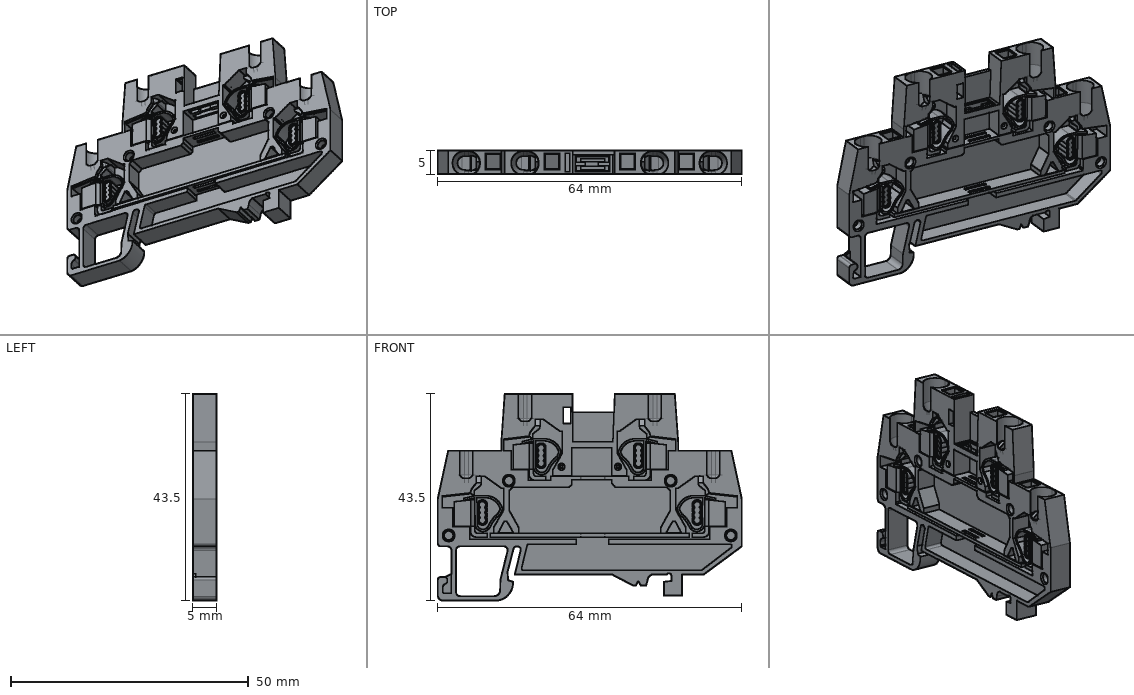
import cadquery as cq
LENGTH = 64.0
THICKNESS = 5.0
HEIGHT = 43.5
POCKET_DEPTH = 4.0
HOOK_WEB = 0.65

RAIL_FACE = 5.45
BODY_BOTTOM = 11.4
LOWER_DECK = 31.55
BAY_TOP = 33.5
SHOULDER = 21.45
BAR_HEIGHT = 0.8
BAR_FRONT = 0.1
ARM_FRONT = 0.8

TERMINAL_STEP_X = -12.35
TERMINAL_STEP_Z = LOWER_DECK - HEIGHT
UPPER_BAR_TOP = 26.1
LOWER_BAR_TOP = UPPER_BAR_TOP + TERMINAL_STEP_Z
UPPER_LEVER_LEFT = 13.95
LOWER_LEVER_LEFT = 13.3

FUNNEL_X = 18.4
FUNNEL_Y = 2.3
FUNNEL_RADIUS = 2.5
FUNNEL_STRAIGHT = 0.8
FUNNEL_DEPTH = 5.1
CONE_DEPTH = 4.0
CONE_TAPER = 15.0

SHAFT_LEFT = 22.6
SHAFT_WIDTH = 2.9
SHAFT_FRONT = 1.1
SHAFT_BACK = 4.15
SHAFT_CHAMFER = 0.2
SHAFT_ROOF = 0.6

SPRING_FRONT = 0.4
SPRING_WALL = 0.45


def prism(points, y_front, y_back):
    """Straight-sided plate with an (X, Z) outline, between two Y planes."""
    plane = cq.Workplane("XZ", origin=(0, y_front, 0))
    return plane.polyline(points).close().extrude(y_front - y_back)


def block(x_left, x_right, y_front, y_back, z_low, z_high):
    size = (x_right - x_left, y_back - y_front, z_high - z_low)
    return cq.Workplane("XY").box(*size, centered=False).translate((x_left, y_front, z_low))


def disc(x, z, radius, y_front, y_back):
    return cq.Workplane("XZ", origin=(x, y_front, z)).circle(radius).extrude(y_front - y_back)


def mirrored(solid):
    """The same solid on the other side of the mid-length plane."""
    return solid.mirror("YZ", (LENGTH / 2, 0, 0))


def body_outline():
    foot = (
        cq.Workplane("XZ")
        .moveTo(0.95, 0)
        .lineTo(12.75, 0)
        .threePointArc((14.7, 1.0), (15.9, 4.0))
        .lineTo(14.85, 4.3)
        .lineTo(14.7, 6.0)
        .lineTo(15.95, 10.75)
    )
    slot_and_rail = (
        foot.threePointArc((16.8, BODY_BOTTOM), (17.5, 10.75))
        .lineTo(16.2, RAIL_FACE)
        .lineTo(36.75, RAIL_FACE)
        .lineTo(41.15, 3.15)
        .lineTo(41.7, 3.15)
        .lineTo(42.2, 4.1)
        .lineTo(42.75, 3.15)
        .lineTo(43.85, 3.15)
        .lineTo(44.15, 4.15)
        .threePointArc((44.4, 4.9), (45.05, RAIL_FACE))
        .lineTo(48.2, RAIL_FACE)
        .threePointArc((48.8, 5.7), (49.15, 5.25))
        .lineTo(49.15, 4.15)
        .lineTo(47.6, 4.0)
        .lineTo(47.6, 1.0)
        .lineTo(51.45, 1.0)
        .lineTo(51.45, RAIL_FACE)
        .lineTo(55.95, RAIL_FACE)
        .lineTo(LENGTH, BODY_BOTTOM)
    )
    towers = (
        slot_and_rail.lineTo(LENGTH, SHOULDER)
        .lineTo(61.8, LOWER_DECK)
        .lineTo(50.6, LOWER_DECK)
        .lineTo(50.6, BAY_TOP)
        .lineTo(49.9, HEIGHT)
        .lineTo(37.25, HEIGHT)
        .lineTo(36.85, BAY_TOP)
        .lineTo(28.4, BAY_TOP)
        .lineTo(28.4, HEIGHT)
        .lineTo(14.1, HEIGHT)
        .lineTo(13.4, BAY_TOP)
        .lineTo(13.4, LOWER_DECK)
        .lineTo(2.2, LOWER_DECK)
        .lineTo(0, SHOULDER)
    )
    return (
        towers.lineTo(0, BODY_BOTTOM + 0.6)
        .threePointArc((0.2, BODY_BOTTOM + 0.2), (0.6, BODY_BOTTOM))
        .lineTo(2.05, BODY_BOTTOM)
        .threePointArc((2.6, 11.15), (2.9, 10.55))
        .lineTo(2.9, 5.6)
        .lineTo(1.65, 5.0)
        .lineTo(0.65, 5.0)
        .threePointArc((0.2, 4.8), (0, 4.35))
        .lineTo(0, 0.95)
        .threePointArc((0.3, 0.3), (0.95, 0))
        .close()
        .extrude(-THICKNESS)
    )


def foot_cutouts():
    window = prism(
        [(3.9, 0.95), (13.05, 0.95), (13.2, 4.4), (14.9, BODY_BOTTOM), (3.9, BODY_BOTTOM)],
        0,
        THICKNESS,
    )
    window = window.edges("|Y").edges(">X or <X").fillet(0.8)
    window = window.edges(cq.selectors.NearestToPointSelector((13.05, THICKNESS / 2, 0.95))).fillet(1.15)
    hook = (
        cq.Workplane("XZ")
        .moveTo(1.55, 6.0)
        .lineTo(1.55, 5.0)
        .threePointArc((2.05, 4.35), (1.7, 3.6))
        .threePointArc((1.2, 3.2), (1.0, 2.7))
        .lineTo(1.0, 1.8)
        .lineTo(1.3, 1.55)
        .lineTo(2.9, 1.55)
        .lineTo(2.9, 6.0)
        .close()
        .extrude(HOOK_WEB - THICKNESS)
    )
    return window.union(hook)


def rail_pocket():
    """Long pocket above the rail, joined to the lower bar groove at mid-length."""
    trough = prism(
        [(17.55, 6.35), (55.5, 6.35), (62.8, 11.9), (18.9, 11.9)], 0, POCKET_DEPTH
    ).edges("|Y").fillet(0.45)
    passage = block(29.2, 36.0, 0, POCKET_DEPTH, 11.65, LOWER_BAR_TOP)
    return trough.union(passage)


def main_recess():
    top = 23.9
    bottom = LOWER_BAR_TOP
    half = [(17.1, bottom), (17.1, 15.3), (15.1, 18.9), (15.1, 23.2), (15.8, top)]
    step_left = [(27.65, top), (28.2, 24.4), (28.2, 25.5)]
    step_right = [(36.7, 25.5), (36.7, 24.65), (37.4, top)]
    half_right = [(LENGTH - x, z) for x, z in reversed(half)]
    return prism(half + step_left + step_right + half_right, 0, POCKET_DEPTH)


def leg_pocket():
    """Small peaked pocket between the two legs of a rib."""
    return prism([(12.75, 14.3), (14.0, 16.7), (14.5, 16.7), (15.95, 14.3)], 0, POCKET_DEPTH)


def clamp_pocket(lever_left):
    """Terminal pocket; lever_left is the X of the lever slot end."""
    return prism(
        [
            (20.5, 38.15), (22.2, 38.15), (25.8, 35.6), (26.25, 35.6), (26.25, 31.05),
            (24.2, 27.45), (24.2, UPPER_BAR_TOP), (23.8, UPPER_BAR_TOP),
            (23.8, UPPER_BAR_TOP - BAR_HEIGHT), (19.1, UPPER_BAR_TOP - BAR_HEIGHT),
            (19.1, 27.5), (15.5, 27.5), (15.5, 31.5), (lever_left, 31.5),
            (lever_left, 34.0), (19.2, 34.6), (19.45, 35.4), (20.5, 36.75),
        ],
        0,
        POCKET_DEPTH,
    )


def funnel():
    """Wire entry: straight slot, then a cone leading into the clamp pocket."""
    width = FUNNEL_STRAIGHT + 2 * FUNNEL_RADIUS
    height = 2 * FUNNEL_RADIUS
    mouth = (
        cq.Workplane("XY", origin=(FUNNEL_X, FUNNEL_Y, HEIGHT))
        .slot2D(width, height)
        .extrude(-FUNNEL_DEPTH)
    )
    cone = (
        cq.Workplane("XY", origin=(FUNNEL_X, FUNNEL_Y, HEIGHT - FUNNEL_DEPTH))
        .slot2D(width, height)
        .extrude(-CONE_DEPTH, taper=CONE_TAPER)
    )
    return mouth.union(cone)


def shaft():
    """Screwdriver shaft whose floor runs parallel to the sloping pocket roof."""
    right = SHAFT_LEFT + SHAFT_WIDTH
    floor_left = 38.15 + SHAFT_ROOF
    floor_right = 35.6 + SHAFT_ROOF
    well = prism(
        [(SHAFT_LEFT, HEIGHT), (SHAFT_LEFT, floor_left), (right, floor_right), (right, HEIGHT)],
        SHAFT_FRONT,
        SHAFT_BACK,
    )
    middle = ((SHAFT_LEFT + right) / 2, (SHAFT_FRONT + SHAFT_BACK) / 2, HEIGHT)
    lead_in = (
        cq.Workplane("XY", origin=middle)
        .rect(SHAFT_WIDTH + 2 * SHAFT_CHAMFER, SHAFT_BACK - SHAFT_FRONT + 2 * SHAFT_CHAMFER)
        .extrude(-SHAFT_CHAMFER, taper=45)
    )
    return well.union(lead_in)


def spring_outline():
    return (
        cq.Workplane("XZ", origin=(0, SPRING_FRONT, 0))
        .moveTo(20.15, 34.05)
        .lineTo(22.2, 34.05)
        .threePointArc((24.95, 33.0), (26.0, 31.2))
        .lineTo(25.5, 30.1)
        .threePointArc((24.2, 28.8), (23.4, 27.5))
        .threePointArc((21.9, 26.5), (20.2, 27.8))
        .close()
    )


def spring():
    """Closed cage-clamp loop with its tail lying on the wire block."""
    width = POCKET_DEPTH - SPRING_FRONT
    loop = spring_outline().extrude(-width)
    opening = spring_outline().offset2D(-SPRING_WALL).extrude(-width)
    tail = prism([(17.8, 33.5), (20.2, 34.05), (20.2, 33.6), (17.8, 33.0)], SPRING_FRONT, POCKET_DEPTH)
    return loop.cut(opening).union(tail)


def contact_rim():
    """Scalloped rim standing inside the spring loop."""
    x = 21.75
    lowest = 28.85
    pitch = 1.1
    rim = cq.Workplane("XY")
    bore = cq.Workplane("XY")
    for index in range(4):
        z = lowest + index * pitch
        rim = rim.union(disc(x, z, 1.0, 0.5, POCKET_DEPTH))
        bore = bore.union(disc(x, z, 0.7, 0.5, 0.8))
    return rim.cut(bore)


def bar_arm():
    """Upturned end of a conductor bar with a rounded bend."""
    bottom = UPPER_BAR_TOP - BAR_HEIGHT
    return (
        cq.Workplane("XZ", origin=(0, ARM_FRONT, 0))
        .moveTo(19.25, 33.3)
        .lineTo(19.25, bottom + 1.15)
        .threePointArc((19.6, bottom + 0.3), (20.4, bottom))
        .lineTo(22.8, bottom)
        .lineTo(22.8, UPPER_BAR_TOP)
        .lineTo(20.8, UPPER_BAR_TOP)
        .threePointArc((20.35, UPPER_BAR_TOP + 0.2), (20.15, UPPER_BAR_TOP + 0.65))
        .lineTo(20.15, 33.3)
        .close()
        .extrude(ARM_FRONT - POCKET_DEPTH)
    )


def wire_guide():
    """Bent guide strip in the mouth of the clamp pocket, topped by a ramp."""
    left = 20.5
    right = 21.6
    ramp_low = 36.75
    ramp_high = 38.15
    strip = prism(
        [
            (left, ramp_low), (right, ramp_low), (21.45, 36.2), (20.0, 35.1), (20.0, 34.0),
            (19.2, 34.6), (19.45, 35.4),
        ],
        ARM_FRONT,
        POCKET_DEPTH,
    )
    ramp = (
        cq.Workplane("YZ", origin=(left, 0, 0))
        .polyline([(ARM_FRONT, ramp_low), (POCKET_DEPTH, ramp_low), (POCKET_DEPTH, ramp_high), (2.55, ramp_high)])
        .close()
        .extrude(right - left)
    )
    return strip.union(ramp)


def wire_block():
    """Insulated block flush with the front face, bevelled on the side facing the spring."""
    bottom = 27.65
    top = 33.15
    plate = prism([(15.9, bottom), (19.25, bottom), (19.25, top), (15.9, 32.8)], 0, POCKET_DEPTH)
    bevel = (
        cq.Workplane("XY", origin=(0, 0, bottom))
        .polyline([(19.25, 0), (20.15, ARM_FRONT), (20.15, POCKET_DEPTH), (19.25, POCKET_DEPTH)])
        .close()
        .extrude(top - bottom)
    )
    return plate.union(bevel)


def lever_strip(lever_left):
    """Thin strip under the sloping roof of the lever slot."""
    thickness = 0.2
    return prism(
        [(lever_left, 34.0), (19.2, 34.6), (19.2, 34.6 - thickness), (lever_left, 34.0 - thickness)],
        0.65,
        POCKET_DEPTH,
    )


def clamp_insert(lever_left):
    insert = wire_block().union(bar_arm()).union(wire_guide()).union(lever_strip(lever_left))
    return insert.union(spring()).union(contact_rim())


def strip_slots(z_low, z_high):
    """Bridge slots passing down through a conductor bar."""
    front = block(30.1, 35.15, 0.9, 1.6, z_low, z_high)
    back = block(30.1, 35.15, 2.55, 3.2, z_low, z_high)
    return front.union(back)


def bay():
    """Bridge bay between the towers: open window, framed mouth and bar slots."""
    window = block(28.2, 36.7, 0, POCKET_DEPTH, UPPER_BAR_TOP, 32.1)
    rim = block(29.0, 36.15, 0.45, 3.8, BAY_TOP - 0.25, BAY_TOP)
    mouth = block(29.2, 36.0, 0.65, 3.6, 32.1, BAY_TOP)
    tabs = block(29.2, 31.05, 1.7, 2.5, 32.1, BAY_TOP).union(block(33.8, 36.0, 1.7, 2.5, 32.1, BAY_TOP))
    slots = strip_slots(25.5, UPPER_BAR_TOP)
    bar_gap = block(24.2, 39.8, 0, POCKET_DEPTH, UPPER_BAR_TOP, UPPER_BAR_TOP + 0.1)
    return window.union(mouth.cut(tabs)).union(rim).union(slots).union(bar_gap)


def marker_slit():
    """Cross window through the left tower with a slit rising to the top face."""
    window = block(26.4, 28.0, 0, THICKNESS, 37.3, 40.65)
    slit = block(26.8, 27.8, 0.45, 4.4, 37.3, HEIGHT)
    return window.union(slit)


def rivet_hole(x, z, radius, chamfer, depth):
    hole = disc(x, z, radius - chamfer, 0, depth)
    rim = cq.Workplane("XZ", origin=(x, 0, z)).circle(radius).workplane(offset=-chamfer)
    return hole.union(rim.circle(radius - chamfer).loft())


body = body_outline()
body = body.union(block(28.4, 37.25, POCKET_DEPTH, THICKNESS, BAY_TOP, 39.7))
body = body.cut(foot_cutouts()).cut(rail_pocket()).cut(main_recess()).cut(bay()).cut(marker_slit())
body = body.cut(block(6.8, LENGTH - 6.8, 0, POCKET_DEPTH, 12.9, LOWER_BAR_TOP))

step = (TERMINAL_STEP_X, 0, TERMINAL_STEP_Z)
upper_cut = clamp_pocket(UPPER_LEVER_LEFT).union(funnel()).union(shaft())
lower_cut = clamp_pocket(LOWER_LEVER_LEFT).union(funnel()).union(shaft()).translate(step)
terminal_cuts = [upper_cut, lower_cut, leg_pocket()]
for x, z, radius, chamfer in ((15.0, 25.2, 1.3, 0.3), (2.3, 13.7, 1.3, 0.3), (26.05, 28.15, 0.7, 0.4)):
    terminal_cuts.append(rivet_hole(x, z, radius, chamfer, 1.9))
for cutter in terminal_cuts:
    body = body.cut(cutter).cut(mirrored(cutter))

for insert in (clamp_insert(UPPER_LEVER_LEFT), clamp_insert(LOWER_LEVER_LEFT).translate(step)):
    body = body.union(insert).union(mirrored(insert))

lower_bar = block(11.1, LENGTH - 11.1, BAR_FRONT, POCKET_DEPTH, LOWER_BAR_TOP - BAR_HEIGHT, LOWER_BAR_TOP)
body = body.union(lower_bar.cut(strip_slots(LOWER_BAR_TOP - BAR_HEIGHT, LOWER_BAR_TOP)))

result = body